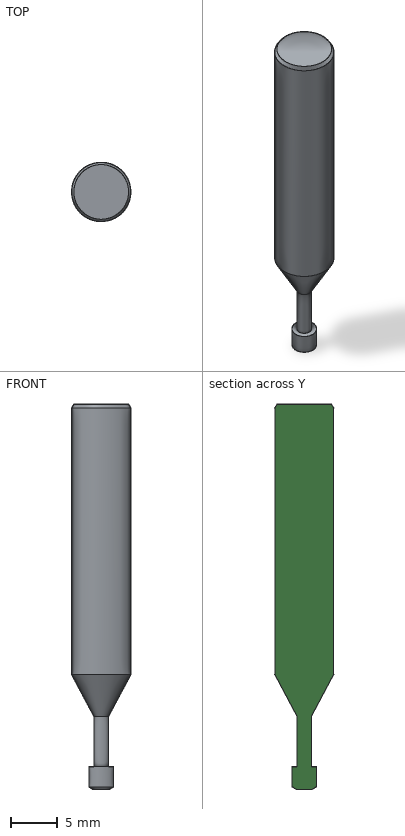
import cadquery as cq

total_length = 41.3
shank_diameter = 6.35
shank_chamfer_width = 0.25
shank_chamfer_height = 0.4
cone_top = 12.35
cone_bottom = 7.85
neck_diameter = 1.55
head_diameter = 2.65
head_height = 2.48
head_chamfer_width = 0.5
head_chamfer_height = 0.3

shank_radius = shank_diameter / 2
neck_radius = neck_diameter / 2
head_radius = head_diameter / 2

profile = (
    cq.Workplane("XZ")
    .moveTo(0, 0)
    .lineTo(head_radius - head_chamfer_width, 0)
    .lineTo(head_radius, head_chamfer_height)
    .lineTo(head_radius, head_height)
    .lineTo(neck_radius, head_height)
    .lineTo(neck_radius, cone_bottom)
    .lineTo(shank_radius, cone_top)
    .lineTo(shank_radius, total_length - shank_chamfer_height)
    .lineTo(shank_radius - shank_chamfer_width, total_length)
    .lineTo(0, total_length)
    .close()
)

result = profile.revolve(360, (0, 0, 0), (0, 1, 0))